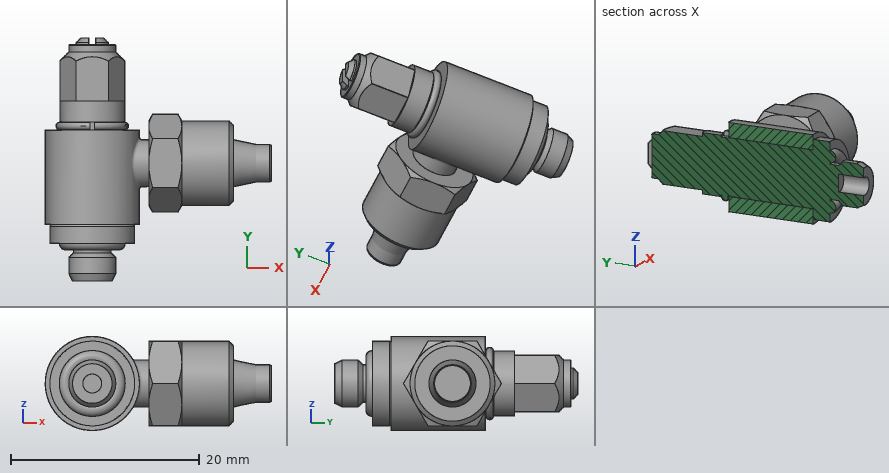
import cadquery as cq
import math


barrel_radius = 5.0
barrel_bottom = -6.5
barrel_top = 3.5
shank_radius = 3.25

neck_radius = 2.5
neck_fillet = 0.3
nut_across_flats = 9.0
nut_start = 6.0
nut_length = 3.5
nut_chamfer_length = 0.4
sleeve_radius = nut_across_flats / 2
sleeve_end = 15.0
sleeve_chamfer = 0.5
nose_root_radius = 2.5
nose_radius = 2.0
nose_taper_end = 17.4
nose_end = 19.0
nose_bevel_length = 0.2
nose_bevel_depth = 0.1

collar_bottom = 4.4
head_hex_bottom = 6.6
head_across_flats = 6.0
head_radius = 3.45
tip_ring_radius = 2.5
tip_ring_bottom = 11.8
tip_ring_top = 12.6
tip_ring_bevel = 0.1
screw_tip_radius = 1.7
screw_tip_top = 13.3
screw_tip_chamfer = 0.5
screw_slot_width = 0.7

ring_wire_radius = 0.4
ring_centre_radius = 3.45
ring_height = (barrel_top + collar_bottom) / 2
ring_gap = 0.5

flange_radius = 4.5
flange_bevel_length = 0.2
flange_bevel_depth = 0.1
flange_bottom = -8.5
seal_wire_radius = 0.7
seal_outer_radius = 3.5
stem_neck_radius = 2.0
stem_radius = 2.5
stem_neck_bottom = -9.5
stem_lead_out = stem_radius - stem_neck_radius
stem_chamfer_top = -11.7
stem_bottom = -12.5
stem_end_radius = 2.1
port_radius = 1.0
port_depth = 3.0


def cylinder_y(radius, start, end):
    """Round bar on the bolt axis."""
    base = cq.Vector(0, start, 0)
    direction = cq.Vector(0, 1, 0)
    return cq.Workplane(cq.Solid.makeCylinder(radius, end - start, base, direction))


def corner_diameter(across_flats):
    """Distance between opposite corners of a hexagon."""
    return across_flats / math.cos(math.pi / 6)


def revolve_y(profile):
    """Full turn of a closed XY profile about the bolt axis."""
    return profile.close().revolve(360, (0, 0, 0), (0, 1, 0))


def revolve_x(profile):
    """Full turn of a closed XY profile about the branch axis."""
    return profile.close().revolve(360, (0, 0, 0), (1, 0, 0))


def make_nut():
    """Hexagon with flats facing +Z and -Z, its corners chamfered at both ends."""
    corner_radius = corner_diameter(nut_across_flats) / 2
    nut_end = nut_start + nut_length
    hexagon = (
        cq.Workplane("YZ", origin=(nut_start, 0, 0))
        .polygon(6, 2 * corner_radius)
        .extrude(nut_length)
    )
    envelope = revolve_x(
        cq.Workplane("XY")
        .moveTo(nut_start, 0)
        .lineTo(nut_start, sleeve_radius)
        .lineTo(nut_start + nut_chamfer_length, corner_radius)
        .lineTo(nut_end - nut_chamfer_length, corner_radius)
        .lineTo(nut_end, sleeve_radius)
        .lineTo(nut_end, 0)
    )
    return hexagon.intersect(envelope)


def make_sleeve_and_nose():
    """Round sleeve behind the nut, tapering down to the tube nose."""
    nut_end = nut_start + nut_length
    return revolve_x(
        cq.Workplane("XY")
        .moveTo(nut_end, 0)
        .lineTo(nut_end, sleeve_radius)
        .lineTo(sleeve_end - sleeve_chamfer, sleeve_radius)
        .lineTo(sleeve_end, sleeve_radius - sleeve_chamfer)
        .lineTo(sleeve_end, nose_root_radius)
        .lineTo(nose_taper_end, nose_radius)
        .lineTo(nose_end - nose_bevel_length, nose_radius)
        .lineTo(nose_end, nose_radius - nose_bevel_depth)
        .lineTo(nose_end, 0)
    )


def make_housing():
    """Barrel with its side branch and a bore for the bolt shank."""
    barrel = cylinder_y(barrel_radius, barrel_bottom, barrel_top)
    neck = cq.Workplane("YZ").circle(neck_radius).extrude(nut_start)
    joint_box = cq.selectors.BoxSelector(
        (0, -neck_radius - neck_fillet, -neck_radius - neck_fillet),
        (nut_start - neck_fillet, neck_radius + neck_fillet, neck_radius + neck_fillet),
        boundingbox=True,
    )
    body = barrel.union(neck).edges(joint_box).fillet(neck_fillet)
    body = body.union(make_nut()).union(make_sleeve_and_nose())
    return body.cut(cylinder_y(shank_radius, barrel_bottom, barrel_top))


def make_bolt_foot():
    """Flange, round seal bead and stem below the barrel, with a blind port."""
    seal_centre_radius = seal_outer_radius - seal_wire_radius
    foot = revolve_y(
        cq.Workplane("XY")
        .moveTo(0, barrel_bottom)
        .lineTo(flange_radius - flange_bevel_depth, barrel_bottom)
        .lineTo(flange_radius, barrel_bottom - flange_bevel_length)
        .lineTo(flange_radius, flange_bottom)
        .lineTo(seal_outer_radius, flange_bottom)
        .threePointArc(
            (seal_centre_radius, flange_bottom - seal_wire_radius),
            (seal_centre_radius - seal_wire_radius, flange_bottom),
        )
        .lineTo(stem_neck_radius, flange_bottom)
        .lineTo(stem_neck_radius, stem_neck_bottom)
        .lineTo(stem_radius, stem_neck_bottom - stem_lead_out)
        .lineTo(stem_radius, stem_chamfer_top)
        .lineTo(stem_end_radius, stem_bottom)
        .lineTo(0, stem_bottom)
    )
    return foot.cut(cylinder_y(port_radius, stem_bottom, stem_bottom + port_depth))


def make_retaining_ring():
    """Round-wire ring on the shank, split on the +Z side."""
    ring = (
        cq.Workplane("XY")
        .center(ring_centre_radius, ring_height)
        .circle(ring_wire_radius)
        .revolve(360, (-ring_centre_radius, 0, 0), (-ring_centre_radius, 1, 0))
    )
    gap_reach = ring_centre_radius + ring_wire_radius
    gap = cq.Workplane("XY").box(
        ring_gap, 2 * ring_wire_radius, gap_reach, centered=(True, True, False)
    )
    return ring.cut(gap.translate((0, ring_height, 0)))


def make_bolt_head():
    """Round collar, hexagon with a 45 degree crown, and the round tip ring."""
    collar = cylinder_y(head_radius, collar_bottom, head_hex_bottom)
    crown_length = head_radius - tip_ring_radius
    hexagon = (
        cq.Workplane("XZ", origin=(0, head_hex_bottom, 0))
        .polygon(6, corner_diameter(head_across_flats))
        .extrude(head_hex_bottom - tip_ring_top)
    )
    envelope = revolve_y(
        cq.Workplane("XY")
        .moveTo(0, head_hex_bottom)
        .lineTo(head_radius, head_hex_bottom)
        .lineTo(head_radius, tip_ring_bottom - crown_length)
        .lineTo(tip_ring_radius, tip_ring_bottom)
        .lineTo(tip_ring_radius, tip_ring_top - tip_ring_bevel)
        .lineTo(tip_ring_radius - tip_ring_bevel, tip_ring_top)
        .lineTo(0, tip_ring_top)
    )
    return collar.union(hexagon.intersect(envelope))


def make_screw_tip():
    """Chamfered adjusting tip with a screwdriver slot running along Z."""
    tip = cylinder_y(screw_tip_radius, tip_ring_top, screw_tip_top)
    tip = tip.faces(">Y").chamfer(screw_tip_chamfer)
    slot_depth = screw_tip_top - tip_ring_top
    slot = cq.Workplane("XY").box(screw_slot_width, slot_depth, 2 * screw_tip_radius)
    return tip.cut(slot.translate((0, screw_tip_top - slot_depth / 2, 0)))


def make_bolt():
    """Bolt through the barrel: the shank with its head, ring, tip and foot."""
    shank = cylinder_y(shank_radius, barrel_bottom, collar_bottom)
    return (
        shank.union(make_bolt_foot())
        .union(make_retaining_ring())
        .union(make_bolt_head())
        .union(make_screw_tip())
    )


housing = make_housing()
bolt = make_bolt()

result = cq.Compound.makeCompound([housing.val(), bolt.val()])